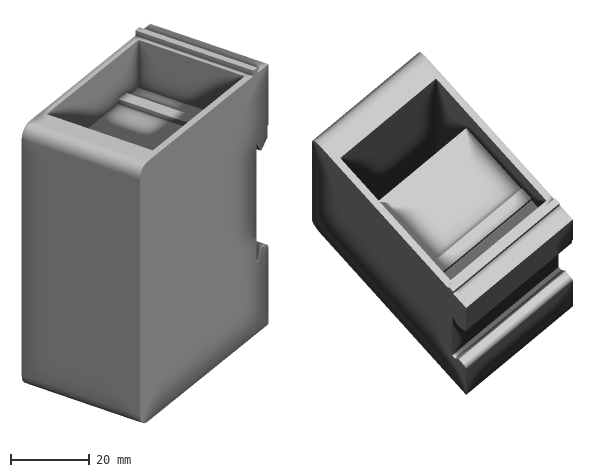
import cadquery as cq

width = 36.0
depth = 60.0
height = 79.6
lip_height = 1.6
body_top = height - lip_height
front_radius = 3.5

lip_setback = 5.1
lip_thickness = 1.8

recess_depth = 5.5
recess_top_drop = 21.1
recess_bottom_drop = 56.5
latch_step_drop = 18.2
latch_step = 0.3
latch_chamfer_drop = 21.7
latch_tip_depth = 3.35
latch_tip_drop = 24.3
hook_base_depth = 4.4
hook_crest_depth = 2.9
hook_crest_drop = 53.3
hook_shoulder_depth = 1.35
hook_shoulder_drop = 53.6
hook_back_drop = 54.9
hook_arc_mid_depth = 0.4
hook_arc_mid_drop = 54.0

side_wall = 1.8
pocket_setback = 8.2
pocket_length = 43.0
pocket_depth = 14.3
ridge_setback = 5.8
ridge_width = 3.7
ridge_height = 1.5
passage_length = 11.5
passage_draft = 0.3

back = depth / 2
front = -depth / 2
pocket_width = width - 2 * side_wall
pocket_back = back - pocket_setback
pocket_front = pocket_back - pocket_length
pocket_floor = body_top - pocket_depth


def box(x_size, y_min, y_max, z_min, z_max):
    """Box centred on X between the given Y and Z limits."""
    size_y = y_max - y_min
    size_z = z_max - z_min
    return cq.Workplane("XY").box(x_size, size_y, size_z).translate(
        (0, (y_min + y_max) / 2, (z_min + z_max) / 2)
    )


def back_point(inset, drop):
    """Profile point given inward from the back and down from the body top."""
    return (back - inset, body_top - drop)


def make_body():
    """Side profile with the rail clip, extruded across the width."""
    profile = (
        cq.Workplane("YZ")
        .moveTo(front, 0)
        .lineTo(back, 0)
        .lineTo(*back_point(0, hook_back_drop))
        .threePointArc(
            back_point(hook_arc_mid_depth, hook_arc_mid_drop),
            back_point(hook_shoulder_depth, hook_shoulder_drop),
        )
        .lineTo(*back_point(hook_crest_depth, hook_crest_drop))
        .lineTo(*back_point(hook_base_depth, recess_bottom_drop))
        .lineTo(*back_point(recess_depth, recess_bottom_drop))
        .lineTo(*back_point(recess_depth, recess_top_drop))
        .lineTo(*back_point(latch_tip_depth, latch_tip_drop))
        .lineTo(*back_point(latch_step, latch_chamfer_drop))
        .lineTo(*back_point(latch_step, latch_step_drop))
        .lineTo(*back_point(0, latch_step_drop))
        .lineTo(back, body_top)
        .lineTo(front, body_top)
        .close()
    )
    body = profile.extrude(width / 2, both=True)
    return body.faces("<Y").edges("|X").fillet(front_radius)


def make_lip():
    lip_back = back - lip_setback
    return box(width, lip_back - lip_thickness, lip_back, body_top, height)


def make_passage():
    """Passage below the pocket; its back wall leans outward going up."""
    passage_back = pocket_front + passage_length
    profile = (
        cq.Workplane("YZ")
        .moveTo(pocket_front, 0)
        .lineTo(passage_back, 0)
        .lineTo(passage_back + passage_draft, pocket_floor)
        .lineTo(pocket_front, pocket_floor)
        .close()
    )
    return profile.extrude(pocket_width / 2, both=True)


def make_pocket():
    """Pocket and passage to remove, leaving the floor ridge standing."""
    pocket = box(pocket_width, pocket_front, pocket_back, pocket_floor, body_top)
    ridge_back = pocket_back - ridge_setback
    ridge_top = pocket_floor + ridge_height
    ridge = box(pocket_width, ridge_back - ridge_width, ridge_back, pocket_floor, ridge_top)
    return pocket.cut(ridge).union(make_passage())


result = make_body().union(make_lip()).cut(make_pocket())